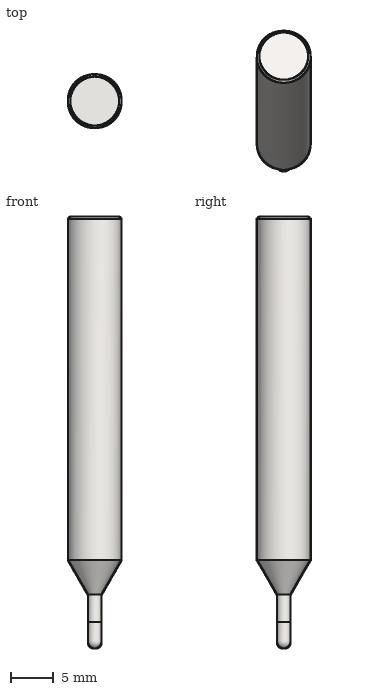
import cadquery as cq
import math

overall_length = 50.8
shank_diameter = 6.35
shank_chamfer = 0.3

tip_diameter = 1.65
tip_length = 3.15
neck_end_height = 6.35
cone_half_angle = 30.0

shank_radius = shank_diameter / 2
tip_radius = tip_diameter / 2
cone_height = (shank_radius - tip_radius) / math.tan(math.radians(cone_half_angle))
cone_end_height = neck_end_height + cone_height


def make_shank():
    """Chamfered shank that tapers through a cone to a slim neck."""
    return (
        cq.Workplane("XZ")
        .moveTo(0, tip_length)
        .lineTo(tip_radius, tip_length)
        .lineTo(tip_radius, neck_end_height)
        .lineTo(shank_radius, cone_end_height)
        .lineTo(shank_radius, overall_length - shank_chamfer)
        .lineTo(shank_radius - shank_chamfer, overall_length)
        .lineTo(0, overall_length)
        .close()
        .revolve(360, (0, 0), (0, 1))
    )


def make_ball_tip():
    """Cylindrical tip with a hemispherical lower end, butted against the neck."""
    arc_offset = tip_radius * math.sqrt(0.5)
    return (
        cq.Workplane("XZ")
        .threePointArc((arc_offset, tip_radius - arc_offset), (tip_radius, tip_radius))
        .lineTo(tip_radius, tip_length)
        .lineTo(0, tip_length)
        .close()
        .revolve(360, (0, 0), (0, 1))
    )


shank = make_shank()
ball_tip = make_ball_tip()

result = cq.Compound.makeCompound([shank.val(), ball_tip.val()])